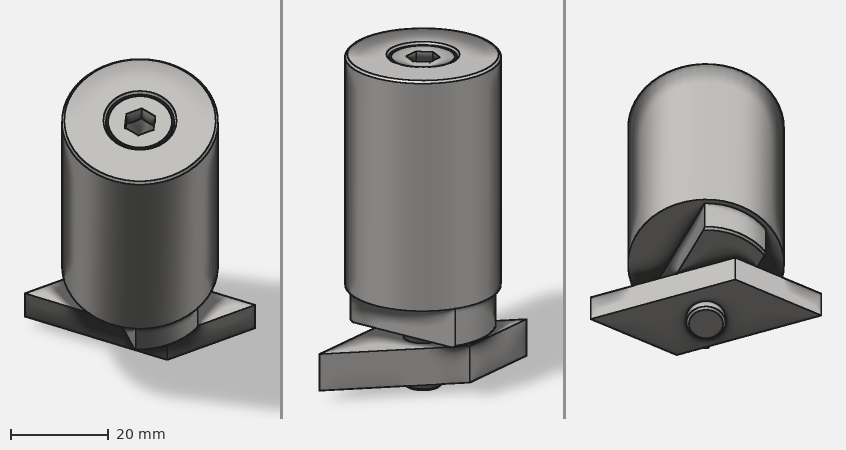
import cadquery as cq
import math

total_height = 72.0

barrel_diameter = 32.0
barrel_length = 50.1
foot_diameter = 30.0
foot_width = 14.0
foot_length = 9.0
edge_chamfer = 0.5

rod_diameter = 8.0
head_diameter = 13.0
counterbore_diameter = 14.0
head_length = 8.0
head_recess = 0.5
hex_across_flats = 6.0
hex_depth = 3.4
hex_tip_angle = 118.0
bar_width = 14.0
bar_span_x = 22.0
bar_thickness = 8.0
bar_angle = 45.0

barrel_bottom = total_height - barrel_length
foot_bottom = barrel_bottom - foot_length
bar_bottom = (foot_bottom - bar_thickness) / 2
head_top = total_height - head_recess
head_bottom = head_top - head_length


def cylinder(diameter, bottom, top):
    """Upright cylinder on the Z axis between two levels."""
    return cq.Workplane("XY").workplane(offset=bottom).circle(diameter / 2).extrude(top - bottom)


def make_foot():
    """Round foot with a chamfered lower rim, cut to two flats facing -Y and +Y."""
    foot = cylinder(foot_diameter, foot_bottom, barrel_bottom).faces("<Z").chamfer(edge_chamfer)
    flats = (
        cq.Workplane("XY")
        .workplane(offset=foot_bottom)
        .rect(foot_diameter, foot_width)
        .extrude(foot_length)
    )
    return foot.intersect(flats)


def make_housing():
    """Barrel and foot, bored for the rod and counterbored with clearance around the bolt head."""
    barrel = cylinder(barrel_diameter, barrel_bottom, total_height).faces(">Z").chamfer(edge_chamfer)
    rod_bore = cylinder(rod_diameter, foot_bottom, total_height)
    counterbore = cylinder(counterbore_diameter, head_bottom, total_height)
    housing = barrel.union(make_foot()).cut(rod_bore).cut(counterbore)
    counterbore_rim = cq.selectors.RadiusNthSelector(0)
    return housing.faces(">Z").edges(counterbore_rim).chamfer(edge_chamfer)


def make_clamp_bar():
    """Parallelogram bar running diagonally, with its ends cut parallel to Y."""
    slope = math.tan(math.radians(bar_angle))
    half_span = bar_span_x / 2
    end_rise = half_span * slope
    half_end = bar_width / math.cos(math.radians(bar_angle)) / 2
    outline = [
        (-half_span, -end_rise - half_end),
        (half_span, end_rise - half_end),
        (half_span, end_rise + half_end),
        (-half_span, -end_rise + half_end),
    ]
    return cq.Workplane("XY").workplane(offset=bar_bottom).polyline(outline).close().extrude(bar_thickness)


def make_hex_socket():
    """Hexagonal key socket, corners on Y, ending in a conical drill point."""
    corner_radius = hex_across_flats / math.sqrt(3)
    tip_depth = corner_radius / math.tan(math.radians(hex_tip_angle / 2))
    floor = head_top - hex_depth
    tip = floor - tip_depth
    prism = (
        cq.Workplane("XY")
        .workplane(offset=tip)
        .polygon(6, 2 * corner_radius)
        .extrude(head_top - tip)
        .rotate((0, 0, 0), (0, 0, 1), 90)
    )
    drill_profile = [(0, tip), (corner_radius, floor), (corner_radius, head_top), (0, head_top)]
    drill = cq.Workplane("XZ").polyline(drill_profile).close().revolve(360, (0, 0, 0), (0, 1, 0))
    return prism.intersect(drill)


def make_clamp_bolt():
    """Socket head, rod and clamp bar as one solid."""
    rod = cylinder(rod_diameter, 0, head_bottom).faces("<Z").chamfer(edge_chamfer)
    head = cylinder(head_diameter, head_bottom, head_top)
    return rod.union(head).union(make_clamp_bar()).cut(make_hex_socket())


housing = make_housing()
clamp_bolt = make_clamp_bolt()

result = cq.Compound.makeCompound([housing.val(), clamp_bolt.val()])